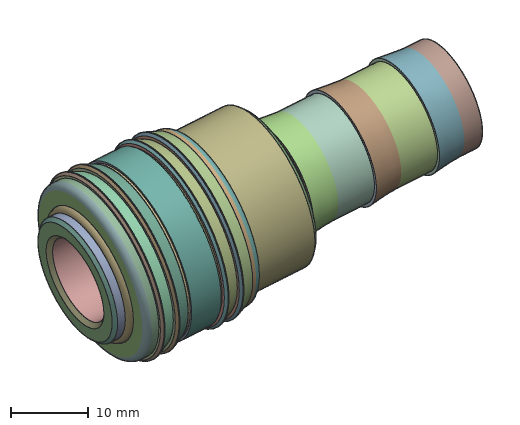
import cadquery as cq

total_length = 58.0

nose_radius = 9.0
nose_chamfer = 0.5
collar_radius = 9.75
collar_rounding = collar_radius - nose_radius

sleeve_radius = 12.7
sleeve_core_radius = 12.55
sleeve_front = 2.45
sleeve_length = 18.0
sleeve_back = sleeve_front + sleeve_length
sleeve_rounding = 0.9

rib_radius = 13.4
rib_root_radius = 12.6
rib_chamfer = 0.35
rib_land_length = 0.15
rib_length = 2.32
ribs_per_group = 2
front_ribs_start = 4.4
rib_group_length = ribs_per_group * rib_length
front_ribs_end = front_ribs_start + rib_group_length

groove_width = 0.35
band_radius = 12.85
band_length = 4.6
band_start = front_ribs_end + groove_width
band_end = band_start + band_length
rear_ribs_start = band_end + groove_width
rear_ribs_end = rear_ribs_start + rib_group_length

body_radius = 11.6
body_back = 30.0
body_chamfer = 0.6

tail_radius = 7.85
barb_radius = 8.3
barb_length = 4.2
barb_pitch = 9.8
barb_count = 3
barb_end_gap = 2.8

socket_radius = 6.0
socket_chamfer = 0.6
socket_depth = sleeve_back
passage_radius = 3.5


def cylinder(radius, start, end):
    """Solid cylinder on the Y axis between two Y positions."""
    return cq.Workplane("XZ", origin=(0, end, 0)).circle(radius).extrude(end - start)


def tapered(start_radius, end_radius, start, end):
    """Solid cone frustum on the Y axis between two Y positions."""
    profile = [(0, start), (start_radius, start), (end_radius, end), (0, end)]
    return cq.Workplane("XY").polyline(profile).close().revolve(360, (0, 0, 0), (0, 1, 0))


def make_nose():
    nose = cylinder(nose_radius, 0, sleeve_front).faces("<Y").chamfer(nose_chamfer)
    quarter_round = (
        cq.Workplane("XY")
        .moveTo(0, sleeve_front)
        .lineTo(collar_radius, sleeve_front)
        .radiusArc((nose_radius, sleeve_front - collar_rounding), collar_rounding)
        .lineTo(0, sleeve_front - collar_rounding)
        .close()
        .revolve(360, (0, 0, 0), (0, 1, 0))
    )
    return nose.union(quarter_round)


def make_rib(start, root_radius):
    """Grip rib: chamfered front edge, short land, then a taper down to the root."""
    land_start = start + rib_chamfer
    land_end = land_start + rib_land_length
    rib = tapered(rib_radius - rib_chamfer, rib_radius, start, land_start)
    rib = rib.union(cylinder(rib_radius, land_start, land_end))
    return rib.union(tapered(rib_radius, root_radius, land_end, start + rib_length))


def make_sleeve():
    sleeve = cylinder(sleeve_core_radius, front_ribs_start, rear_ribs_end)
    front_lip = cylinder(sleeve_radius, sleeve_front, front_ribs_start)
    rear_lip = cylinder(sleeve_radius, rear_ribs_end, sleeve_back)
    sleeve = sleeve.union(front_lip.faces("<Y").edges().fillet(sleeve_rounding))
    sleeve = sleeve.union(rear_lip.faces(">Y").edges().fillet(sleeve_rounding))
    sleeve = sleeve.union(cylinder(band_radius, band_start, band_end))
    for group_start in (front_ribs_start, rear_ribs_start):
        for index in range(ribs_per_group):
            start = group_start + index * rib_length
            meets_lip = group_start == rear_ribs_start and index == ribs_per_group - 1
            root_radius = sleeve_radius if meets_lip else rib_root_radius
            sleeve = sleeve.union(make_rib(start, root_radius))
    return sleeve


def make_body():
    body = cylinder(body_radius, sleeve_front + sleeve_rounding, body_back)
    return body.faces(">Y").chamfer(body_chamfer)


def make_hose_tail():
    tail = cylinder(tail_radius, sleeve_back, total_length)
    for index in range(barb_count):
        barb_tip = total_length - barb_end_gap - index * barb_pitch
        tail = tail.union(tapered(barb_radius, tail_radius, barb_tip - barb_length, barb_tip))
    return tail


def make_bores():
    mouth = tapered(socket_radius + socket_chamfer, socket_radius, 0, socket_chamfer)
    socket = cylinder(socket_radius, 0, socket_depth)
    passage = cylinder(passage_radius, 0, total_length)
    return mouth.union(socket).union(passage)


outside = make_nose().union(make_sleeve()).union(make_body()).union(make_hose_tail())
result = outside.cut(make_bores())